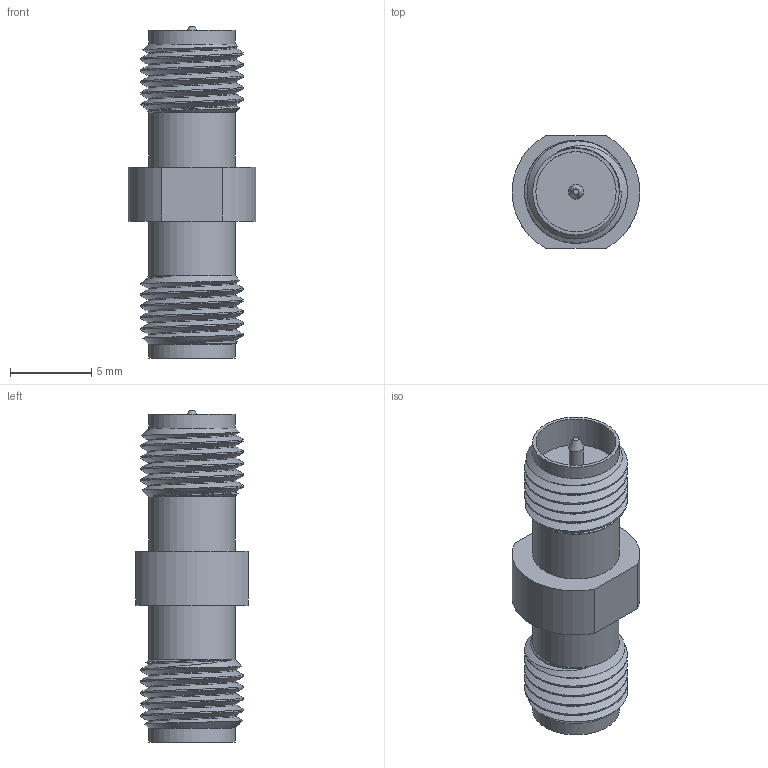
import cadquery as cq
import math

BARREL_DIAMETER = 5.35
OVERALL_HEIGHT = 20.48
PIN_PROTRUSION = 0.26
BARREL_LENGTH = OVERALL_HEIGHT - PIN_PROTRUSION
BARREL_RADIUS = BARREL_DIAMETER / 2
BARREL_END = BARREL_LENGTH / 2

FLANGE_DIAMETER = 7.89
FLANGE_ACROSS_FLATS = 6.94
FLANGE_HEIGHT = 3.33

INCH = 25.4
THREAD_DIAMETER = INCH / 4
THREAD_RADIUS = THREAD_DIAMETER / 2
PITCH = INCH / 36
CREST_WIDTH = PITCH / 8
ROOT_WIDTH = PITCH / 8
FLANK_SLOPE = math.tan(math.radians(30))
ROOT_RADIUS = THREAD_RADIUS - (PITCH - CREST_WIDTH - ROOT_WIDTH) / 2 / FLANK_SLOPE
THREAD_LENGTH = 4.22
THREAD_SETBACK = 0.86
THREAD_TOP = BARREL_END - THREAD_SETBACK
THREAD_BOTTOM = THREAD_TOP - THREAD_LENGTH
CREST_DROP = 1.436
THREAD_TURNS = 8
TURNS_ABOVE_CREST = 1
RIDGE_EMBED = 0.02
BLANK_CLEARANCE = 0.1

SOCKET_DIAMETER = 4.95
SOCKET_DEPTH = 1.95

PIN_DIAMETER = 0.92
PIN_TIP_DIAMETER = 0.35
PIN_TAPER_LENGTH = 0.64


def cylinder(diameter, height, bottom):
    return cq.Workplane("XY").workplane(offset=bottom).circle(diameter / 2).extrude(height)


def make_flange():
    disc = cylinder(FLANGE_DIAMETER, FLANGE_HEIGHT, -FLANGE_HEIGHT / 2)
    flats = cq.Workplane("XY").box(FLANGE_DIAMETER, FLANGE_ACROSS_FLATS, FLANGE_HEIGHT)
    return disc.intersect(flats)


def make_tapered_blank():
    """Thread-length blank, clear of the crests, tapering at 45 degrees to the barrel at both ends."""
    outer = THREAD_RADIUS + BLANK_CLEARANCE
    taper = outer - BARREL_RADIUS
    profile = [
        (0, THREAD_BOTTOM),
        (BARREL_RADIUS, THREAD_BOTTOM),
        (outer, THREAD_BOTTOM + taper),
        (outer, THREAD_TOP - taper),
        (BARREL_RADIUS, THREAD_TOP),
        (0, THREAD_TOP),
    ]
    return cq.Workplane("XZ").polyline(profile).close().revolve(360, (0, 0, 0), (0, 1, 0))


def make_thread():
    """Upper thread: a helical ridge on a rod of the root diameter, trimmed to tapered ends."""
    ridge_root = ROOT_RADIUS - RIDGE_EMBED
    half_crest = CREST_WIDTH / 2
    half_base = half_crest + (THREAD_RADIUS - ridge_root) * FLANK_SLOPE
    helix_height = THREAD_TURNS * PITCH
    start = BARREL_END - CREST_DROP - (THREAD_TURNS - TURNS_ABOVE_CREST) * PITCH
    profile = [
        (ridge_root, -half_base),
        (THREAD_RADIUS, -half_crest),
        (THREAD_RADIUS, half_crest),
        (ridge_root, half_base),
    ]
    helix = cq.Wire.makeHelix(PITCH, helix_height, ROOT_RADIUS)
    ridge = cq.Workplane("XZ").polyline(profile).close().sweep(cq.Workplane(helix), isFrenet=True)
    rod = cylinder(2 * ROOT_RADIUS, helix_height, start)
    threaded_rod = rod.union(ridge.translate((0, 0, start)))
    return threaded_rod.intersect(make_tapered_blank())


def make_socket():
    return cylinder(SOCKET_DIAMETER, SOCKET_DEPTH, BARREL_END - SOCKET_DEPTH)


def make_pin():
    tip = BARREL_END + PIN_PROTRUSION
    floor = BARREL_END - SOCKET_DEPTH
    profile = [
        (0, floor),
        (PIN_DIAMETER / 2, floor),
        (PIN_DIAMETER / 2, tip - PIN_TAPER_LENGTH),
        (PIN_TIP_DIAMETER / 2, tip),
        (0, tip),
    ]
    return cq.Workplane("XZ").polyline(profile).close().revolve(360, (0, 0, 0), (0, 1, 0))


def turned_over(shape):
    """The same shape at the lower end: a half turn about the X axis."""
    return shape.rotate((0, 0, 0), (1, 0, 0), 180)


thread = make_thread()
socket = make_socket()

result = cylinder(BARREL_DIAMETER, BARREL_LENGTH, -BARREL_END).union(make_flange())
for end_thread in (thread, turned_over(thread)):
    result = result.union(end_thread)
for end_socket in (socket, turned_over(socket)):
    result = result.cut(end_socket)
result = result.union(make_pin())